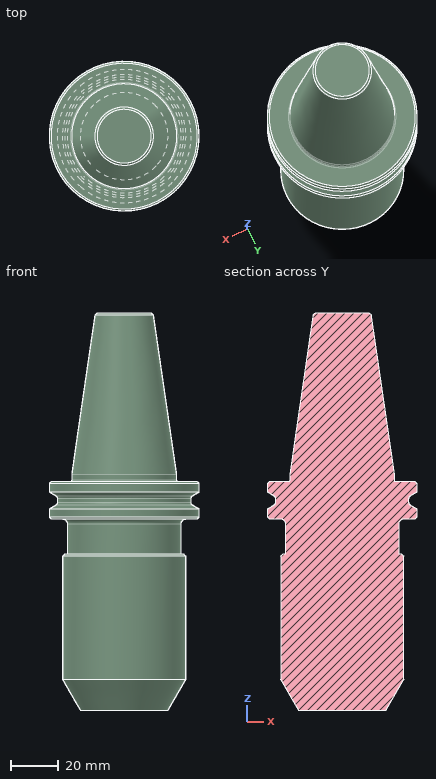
import cadquery as cq
import math

total_height = 168.2
flange_radius = 31.72
flange_top = 96.9
flange_bottom = 81.0
edge_chamfer = 0.8

gauge_height = 100.0
gauge_radius = 22.2
taper_slope = 7 / 48
tip_chamfer = 0.8
root_fillet = 0.5

groove_center = 88.8
groove_width = 7.0
groove_floor_radius = 28.3
groove_wall_angle = math.radians(30)
groove_fillet = 1.2

neck_radius = 24.0
neck_fillet = 2.0
body_radius = 26.0
body_top = 66.3
shoulder_chamfer = 1.0
nose_height = 13.1
nose_angle = math.radians(30)

tip_radius = gauge_radius - (total_height - gauge_height) * taper_slope
nose_radius = body_radius - nose_height * math.tan(nose_angle)


def cylinder(radius, bottom, top):
    return cq.Workplane("XY").workplane(offset=bottom).circle(radius).extrude(top - bottom)


def revolve_profile(points):
    """Revolve a closed (radius, height) outline about the Z axis."""
    return cq.Workplane("XZ").polyline(points).close().revolve(360, (0, 0, 0), (0, 1, 0))


def make_shank():
    """Cone on a short cylindrical land that meets the flange in a small concave fillet."""
    shank = (
        cq.Workplane("XZ")
        .moveTo(0, flange_top)
        .lineTo(gauge_radius + root_fillet, flange_top)
        .radiusArc((gauge_radius, flange_top + root_fillet), root_fillet)
        .lineTo(gauge_radius, gauge_height)
        .lineTo(tip_radius, total_height)
        .lineTo(0, total_height)
        .close()
        .revolve(360, (0, 0, 0), (0, 1, 0))
    )
    return shank.faces(">Z").chamfer(tip_chamfer)


def make_flange():
    """Flange with chamfered rims and a V-shaped groove with a rounded floor."""
    rim = cylinder(flange_radius, flange_bottom, flange_top).faces("<Z or >Z").chamfer(edge_chamfer)
    half_mouth = groove_width / 2
    wall_rise = (flange_radius - groove_floor_radius) * math.tan(groove_wall_angle)
    half_floor = half_mouth - wall_rise
    flange = rim.cut(revolve_profile([
        (flange_radius, groove_center - half_mouth),
        (groove_floor_radius, groove_center - half_floor),
        (groove_floor_radius, groove_center + half_floor),
        (flange_radius, groove_center + half_mouth),
        (flange_radius + edge_chamfer, groove_center + half_mouth),
        (flange_radius + edge_chamfer, groove_center - half_mouth),
    ]))
    floor_edges = cq.selectors.BoxSelector(
        (-flange_radius, -flange_radius, groove_center - half_floor - groove_fillet / 2),
        (flange_radius, flange_radius, groove_center + half_floor + groove_fillet / 2),
    )
    return flange.edges("%CIRCLE").edges(floor_edges).fillet(groove_fillet)


def make_neck():
    """Neck widening into the underside of the flange through a concave fillet."""
    neck = cylinder(neck_radius, body_top, flange_bottom)
    flare = (
        cq.Workplane("XZ")
        .moveTo(0, flange_bottom - neck_fillet)
        .lineTo(neck_radius, flange_bottom - neck_fillet)
        .radiusArc((neck_radius + neck_fillet, flange_bottom), neck_fillet)
        .lineTo(0, flange_bottom)
        .close()
        .revolve(360, (0, 0, 0), (0, 1, 0))
    )
    return neck.union(flare)


def make_body():
    """Cylindrical body with a chamfered shoulder and a conical nose."""
    return revolve_profile([
        (0, 0),
        (nose_radius, 0),
        (body_radius, nose_height),
        (body_radius, body_top - shoulder_chamfer),
        (body_radius - shoulder_chamfer, body_top),
        (0, body_top),
    ])


result = make_body().union(make_neck()).union(make_flange()).union(make_shank())